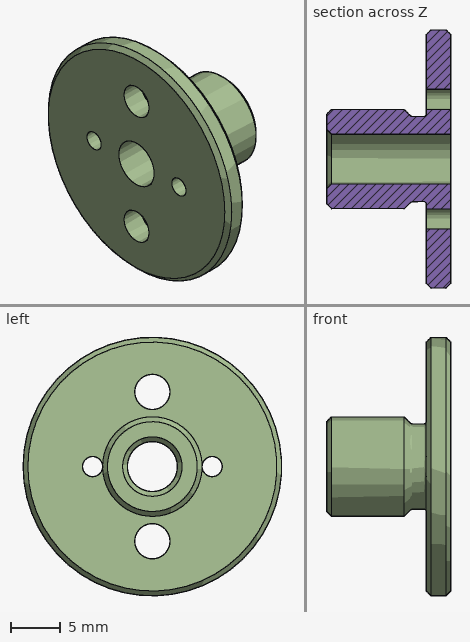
import cadquery as cq

flange_diameter = 26.0
flange_thickness = 2.5
hub_diameter = 10.0
hub_length = 10.0
bore_diameter = 5.0
edge_chamfer = 0.5

groove_width = 2.2
groove_depth = 0.7
ramp_fillet = 0.3
flange_fillet = 0.2

large_hole_diameter = 3.5
large_hole_spacing = 15.0
small_hole_diameter = 2.0
small_hole_spacing = 12.0

total_length = hub_length + flange_thickness
flange_radius = flange_diameter / 2
hub_radius = hub_diameter / 2
bore_radius = bore_diameter / 2
neck_radius = hub_radius - groove_depth
groove_start = hub_length - groove_width
ramp_end = groove_start + groove_depth


def make_body():
    """Revolve the half section, drawn as (axial position, radius)."""
    section = [
        (edge_chamfer, bore_radius),
        (0, bore_radius + edge_chamfer),
        (0, hub_radius - edge_chamfer),
        (edge_chamfer, hub_radius),
        (groove_start, hub_radius),
        (ramp_end, neck_radius),
        (hub_length, neck_radius),
        (hub_length, flange_radius - edge_chamfer),
        (hub_length + edge_chamfer, flange_radius),
        (total_length - edge_chamfer, flange_radius),
        (total_length, flange_radius - edge_chamfer),
        (total_length, bore_radius),
    ]
    body = cq.Workplane("XY").polyline(section).close().revolve(360, (0, 0, 0), (1, 0, 0))
    body = fillet_neck_end(body, ramp_end, ramp_fillet)
    return fillet_neck_end(body, hub_length, flange_fillet)


def fillet_neck_end(body, position, radius):
    """Round the circular corner where the neck ends at the given X position."""
    margin = 0.03
    reach = 2 * (neck_radius + margin)
    corner_zone = cq.selectors.BoxSelector(
        (position - margin, -reach / 2, -reach / 2),
        (position + margin, reach / 2, reach / 2),
        boundingbox=True,
    )
    return body.edges(corner_zone).fillet(radius)


def hole_pair(diameter, half_y, half_z):
    """Two opposite cylinders along X, long enough to pass through the flange."""
    return (
        cq.Workplane("YZ", origin=(hub_length, 0, 0))
        .pushPoints([(half_y, half_z), (-half_y, -half_z)])
        .circle(diameter / 2)
        .extrude(flange_thickness)
    )


large_holes = hole_pair(large_hole_diameter, 0, large_hole_spacing / 2)
small_holes = hole_pair(small_hole_diameter, small_hole_spacing / 2, 0)
result = make_body().cut(large_holes).cut(small_holes)